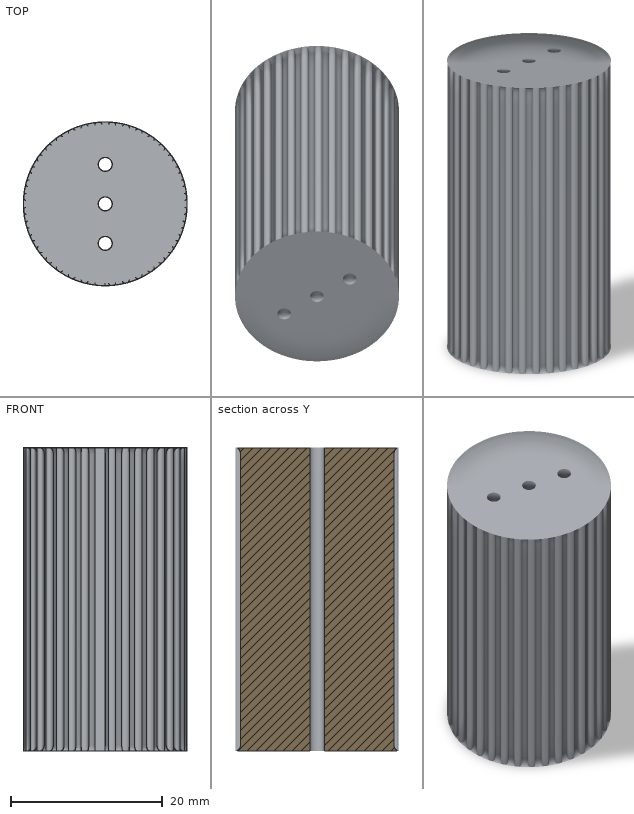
import cadquery as cq
import math

length = 40.0
tip_radius = 10.8

tooth_count = 36
gap_depth = 0.65
tooth_width = 0.95
tip_rounding = 0.4
root_radius = tip_radius - gap_depth
tooth_pitch_angle = 360.0 / tooth_count
overlap = 0.3

flange_height = 0.8

hole_diameter = 1.8
hole_spacing = 5.2
hole_count = 3


def make_cylinder(radius):
    """Full-length cylinder centred on the origin, with its axis along Z."""
    return cq.Workplane("XY").workplane(offset=-length / 2).circle(radius).extrude(length)


def make_tooth():
    """One full-length tooth on the +X axis."""
    foot = root_radius - overlap
    bar = (
        cq.Workplane("XY")
        .box(tip_radius, tooth_width, length, centered=(False, True, True))
        .translate((foot, 0, 0))
    )
    tooth = bar.intersect(make_cylinder(tip_radius))
    tip_edges = cq.selectors.BoxSelector(
        (root_radius, -tooth_width, -length),
        (tip_radius, tooth_width, length),
    )
    return tooth.edges("|Z").edges(tip_edges).fillet(tip_rounding)


def add_teeth(body):
    """Ring of teeth, with a gap centred on each of the X and Y axes."""
    tooth = make_tooth().val()
    teeth = [
        tooth.rotate((0, 0, 0), (0, 0, 1), (index + 0.5) * tooth_pitch_angle)
        for index in range(tooth_count)
    ]
    return cq.Workplane(body.val().fuse(*teeth))


def add_gap_filler(body):
    """Fill the -X half of the gap on the -Y axis, from its centre line to the crown of the next tooth."""
    foot = root_radius - overlap
    width = tip_radius * math.sin(math.radians(tooth_pitch_angle / 2))
    outer_corner = math.sqrt(tip_radius**2 - width**2)
    arc_middle = math.sqrt(tip_radius**2 - (width / 2) ** 2)
    filler = (
        cq.Workplane("XY")
        .workplane(offset=-length / 2)
        .moveTo(0, -foot)
        .lineTo(0, -tip_radius)
        .threePointArc((-width / 2, -arc_middle), (-width, -outer_corner))
        .lineTo(-width, -foot)
        .close()
        .extrude(length)
    )
    return body.union(filler)


def make_top_flange():
    """Disc at the top end whose edge sweeps from the tooth root out to the tip radius."""
    top = length / 2
    ramp_start = top - flange_height
    ramp_radius = (gap_depth**2 + flange_height**2) / (2 * gap_depth)
    half_sweep = math.atan2(gap_depth, flange_height)
    ramp_middle = (
        root_radius + ramp_radius * (1 - math.cos(half_sweep)),
        ramp_start + ramp_radius * math.sin(half_sweep),
    )
    return (
        cq.Workplane("XZ")
        .moveTo(0, ramp_start)
        .lineTo(root_radius, ramp_start)
        .threePointArc(ramp_middle, (tip_radius, top))
        .lineTo(0, top)
        .close()
        .revolve(360, (0, 0, 0), (0, 1, 0))
    )


def add_flanges(body):
    """Matching flanges at both ends."""
    top_flange = make_top_flange()
    return body.union(top_flange).union(top_flange.mirror("XY"))


def cut_holes(body):
    """Row of holes through the full length."""
    holes = (
        cq.Workplane("XY")
        .workplane(offset=-length / 2)
        .rarray(hole_spacing, hole_spacing, 1, hole_count)
        .circle(hole_diameter / 2)
        .extrude(length)
    )
    return body.cut(holes)


core = make_cylinder(root_radius)
toothed = add_gap_filler(add_teeth(core))
result = cut_holes(add_flanges(toothed))